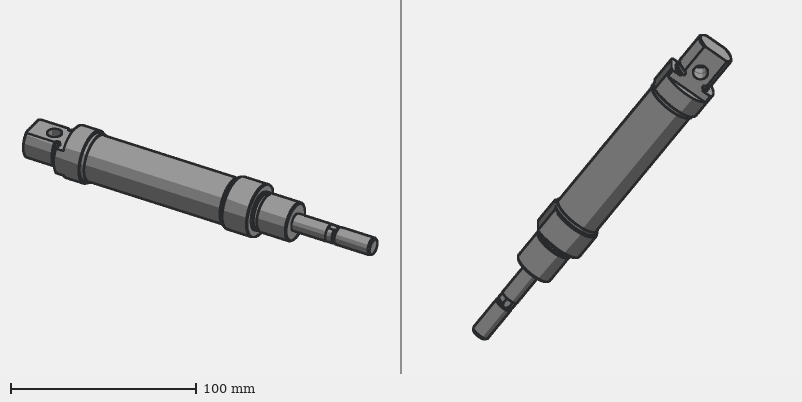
import cadquery as cq


lug_groove_x = 18.0
flange_x = 21.8
flange_flat_end_x = 26.2
rear_collar_end_x = 37.0
barrel_start_x = 39.5
barrel_end_x = 123.7
front_collar_start_x = 125.6
front_collar_end_x = 141.5
nose_end_x = 163.3
rod_flats_x = 184.2
rod_groove_x = 188.0
rod_end_x = 211.5

collar_dia = 30.0
lip_dia = 27.5
barrel_dia = 26.5
thread_dia = 22.0
thread_groove_dia = 20.0
rod_dia = 10.0
rod_neck_dia = 9.7
rod_groove_dia = 9.3
rod_tip_dia = 8.7

thread_groove_width = 2.0
thread_shoulder = 1.3
groove_taper = 0.6
thread_chamfer = 0.6
collar_chamfer_length = 0.6
collar_chamfer_depth = 0.2
rod_groove_width = 1.3
rod_groove_taper = 0.6
rod_tip_chamfer = 1.0

cap_flat_y = 13.5
lug_thickness = 16.0
rod_across_flats = 8.9
pivot_hole_dia = 8.0
pivot_hole_x = 13.7


def turned(stations):
    """Solid of revolution about X through (x, diameter) stations."""
    outline = [(x, dia / 2) for x, dia in stations]
    axis_end = (outline[-1][0], 0)
    axis_start = (outline[0][0], 0)
    profile = cq.Workplane("XY").polyline([axis_start] + outline + [axis_end]).close()
    return profile.revolve(360, (0, 0, 0), (1, 0, 0))


def slab(x_start, x_end, y_min, y_max, z_min, z_max):
    """Box between the given limits."""
    size = (x_end - x_start, y_max - y_min, z_max - z_min)
    return cq.Workplane("XY").box(*size, centered=False).translate((x_start, y_min, z_min))


def cut_side_flat(cap, x_start, x_end):
    """Mill the +Y flat over a cap's whole length."""
    return cap.cut(slab(x_start, x_end, cap_flat_y, collar_dia, -collar_dia, collar_dia))


def cut_flats_z(body, x_start, x_end, thickness):
    """Mill a pair of flats on the +Z and -Z sides, leaving the given thickness."""
    half = thickness / 2
    above = slab(x_start, x_end, -collar_dia, collar_dia, half, collar_dia)
    below = slab(x_start, x_end, -collar_dia, collar_dia, -collar_dia, -half)
    return body.cut(above).cut(below)


def make_rear_cap():
    cap = turned([
        (0, thread_dia - 2 * thread_chamfer),
        (thread_chamfer, thread_dia),
        (lug_groove_x, thread_dia),
        (lug_groove_x + groove_taper, thread_groove_dia),
        (flange_x - thread_shoulder, thread_groove_dia),
        (flange_x - thread_shoulder, thread_dia),
        (flange_x, thread_dia),
        (flange_x, collar_dia),
        (rear_collar_end_x, collar_dia),
        (rear_collar_end_x, lip_dia),
        (barrel_start_x, lip_dia),
    ])
    cap = cut_side_flat(cap, 0, barrel_start_x)
    cap = cut_flats_z(cap, 0, flange_flat_end_x, lug_thickness)
    pivot = cq.Workplane("XY").center(pivot_hole_x, 0).circle(pivot_hole_dia / 2)
    return cap.cut(pivot.extrude(lug_thickness, both=True))


def make_barrel():
    return turned([(barrel_start_x, barrel_dia), (barrel_end_x, barrel_dia)])


def make_front_cap():
    collar_edge_dia = collar_dia - 2 * collar_chamfer_depth
    groove_start_x = front_collar_end_x + thread_shoulder
    groove_end_x = groove_start_x + thread_groove_width
    cap = turned([
        (barrel_end_x, lip_dia),
        (front_collar_start_x, lip_dia),
        (front_collar_start_x, collar_edge_dia),
        (front_collar_start_x + collar_chamfer_length, collar_dia),
        (front_collar_end_x - collar_chamfer_length, collar_dia),
        (front_collar_end_x, collar_edge_dia),
        (front_collar_end_x, thread_dia),
        (groove_start_x, thread_dia),
        (groove_start_x, thread_groove_dia),
        (groove_end_x, thread_groove_dia),
        (groove_end_x + groove_taper, thread_dia),
        (nose_end_x - thread_chamfer, thread_dia),
        (nose_end_x, thread_dia - 2 * thread_chamfer),
    ])
    return cut_side_flat(cap, barrel_end_x, nose_end_x)


def make_rod():
    groove_end_x = rod_groove_x + rod_groove_width
    rod = turned([
        (nose_end_x, rod_dia),
        (rod_flats_x, rod_dia),
        (rod_flats_x, rod_neck_dia),
        (rod_groove_x, rod_neck_dia),
        (rod_groove_x, rod_groove_dia),
        (groove_end_x, rod_groove_dia),
        (groove_end_x + rod_groove_taper, rod_dia),
        (rod_end_x - rod_tip_chamfer, rod_dia),
        (rod_end_x, rod_tip_dia),
    ])
    return cut_flats_z(rod, rod_flats_x, groove_end_x, rod_across_flats)


rear_cap = make_rear_cap()
barrel = make_barrel()
front_cap = make_front_cap()
rod = make_rod()

result = cq.Compound.makeCompound([rear_cap.val(), barrel.val(), front_cap.val(), rod.val()])